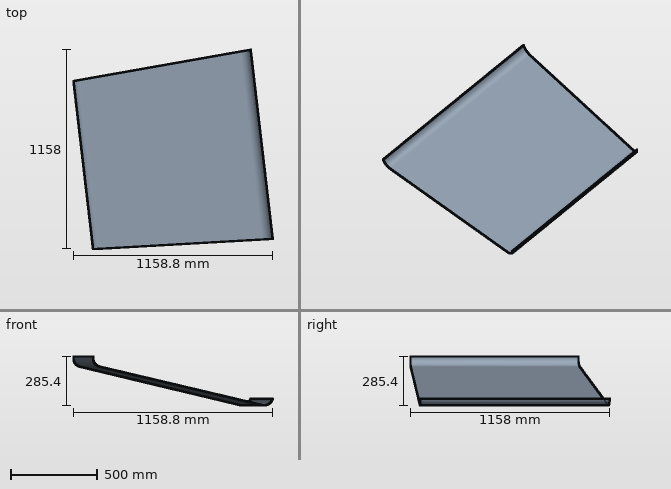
import math

import cadquery as cq

sheet_thickness = 2.5
bend_radius = 51.7
lip_length = 11.0

floor_width = 968.0
mid_length = 1043.8
end_taper = 3.29

floor_slope = 13.3
heading = 6.65

bend_angle = 90.0 - floor_slope


def rim_point(radius, along_lip):
    """Point on the right rim where it meets the lip, or further out along the lip."""
    turn = math.radians(bend_angle)
    across = floor_width / 2 + radius * math.sin(turn) + along_lip * math.cos(turn)
    height = bend_radius - radius * math.cos(turn) + along_lip * math.sin(turn)
    return across, height


def bend_middle(radius):
    """Point half way round the right bend."""
    half_turn = math.radians(bend_angle / 2)
    across = floor_width / 2 + radius * math.sin(half_turn)
    return across, bend_radius - radius * math.cos(half_turn)


def mirrored(point):
    return -point[0], point[1]


def make_folded_sheet():
    """Constant cross-section: flat floor with an upturned rim on both sides."""
    outer = bend_radius
    inner = bend_radius - sheet_thickness
    half_floor = floor_width / 2
    profile = (
        cq.Workplane("XZ")
        .moveTo(-half_floor, 0)
        .lineTo(half_floor, 0)
        .threePointArc(bend_middle(outer), rim_point(outer, 0))
        .lineTo(*rim_point(outer, lip_length))
        .lineTo(*rim_point(inner, lip_length))
        .lineTo(*rim_point(inner, 0))
        .threePointArc(bend_middle(inner), (half_floor, sheet_thickness))
        .lineTo(-half_floor, sheet_thickness)
        .threePointArc(mirrored(bend_middle(inner)), mirrored(rim_point(inner, 0)))
        .lineTo(*mirrored(rim_point(inner, lip_length)))
        .lineTo(*mirrored(rim_point(outer, lip_length)))
        .lineTo(*mirrored(rim_point(outer, 0)))
        .threePointArc(mirrored(bend_middle(outer)), (-half_floor, 0))
        .close()
    )
    return profile.extrude(mid_length, both=True)


def make_trapezoid_block():
    """Block square to the floor whose tapered ends trim the tray, longer on the +X side."""
    half_width = rim_point(bend_radius, lip_length)[0] + bend_radius
    flare = half_width * math.tan(math.radians(end_taper))
    short_half = mid_length / 2 - flare
    long_half = mid_length / 2 + flare
    corners = [
        (-half_width, -short_half),
        (half_width, -long_half),
        (half_width, long_half),
        (-half_width, short_half),
    ]
    return cq.Workplane("XY").polyline(corners).close().extrude(2 * bend_radius, both=True)


def place(tray):
    """Slope the floor down towards +X, then turn the tray about the vertical."""
    sloped = tray.rotate((0, 0, 0), (0, 1, 0), floor_slope)
    return sloped.rotate((0, 0, 0), (0, 0, 1), heading)


result = place(make_folded_sheet().intersect(make_trapezoid_block()))